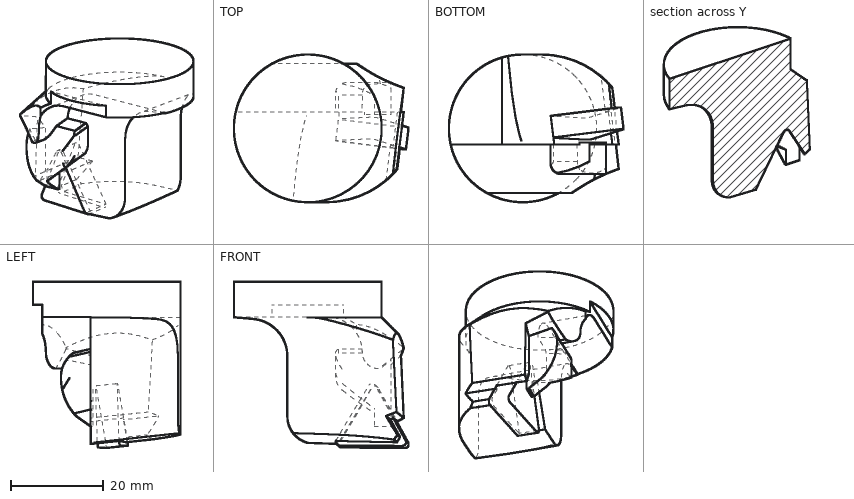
import cadquery as cq
import math

REACH = 60.0

disc_radius = 16.0
disc_depth = 7.7
flat_length = 4.0
flank_radius = 20.0
stock_depth = 40.0
flank_centre_y = flank_radius - disc_radius
flank_end_x = flat_length + flank_radius

rear_flat_y = 14.0
rear_flat_top = -5.0
rear_wall_start_x = 10.6
rear_wall_mid = (14.6, 11.5)
rear_wall_end_y = 7.8

rake_y = 3.5
shank_x = -4.44
relief_radius = 8.0
relief_slope = math.radians(5)
relief_centre_z = -16.07
toe_radius = 6.0
toe_centre_z = -29.1

chip_roof_z = -7.6
chip_wall_x = 11.8
chip_tangent_z = -15.3
chip_edge_radius = 3.5
brow_slope_x = 0.889
brow_slope_y = 0.194

clearance = math.radians(6)
rake_tilt = math.radians(7)
end_point = (0, 0, -34.53)
end_lead = math.radians(2)
side_point = (19.07, 0, 0)
side_lead = math.radians(2.5)

insert_centre = (14.32, 1.5, -31.21)
insert_turn = -0.45
inscribed_diameter = 9.525
insert_inradius = inscribed_diameter / 2
half_corner_angle = 30
insert_nose_radius = 0.8
insert_thickness = 4.76

seat_opening = 10.0
seat_inset = 0.72
notch_wall = -1.3
corner_flat_distance = 6.9

lug_x_start = 6.0
lug_x_end = 18.0
lug_embed = 0.5
lug_top_z = -14.55
lug_shoulder = (7.2, -15.4)
lug_upper_flank = (9.3, -17.9)
lug_crest = (9.9, -21.5)
lug_lower_flank = (9.1, -25.2)
lug_chin = (6.5, -29.2)
lug_bottom_z = -31.3
lug_nose_tilt = 13.5
lug_top_bevel = 0.6
lug_nose_height = 3.8
lug_nose_round = 3.8
lug_undercut = math.radians(52)
lug_undercut_height = 6.0
lug_side_y = 7.5
lug_side_round = lug_crest[0] - lug_side_y


def half_space(point, normal):
    """Large block on the normal side of a plane."""
    plane = cq.Plane(origin=point, normal=normal)
    return cq.Workplane(plane).rect(2 * REACH, 2 * REACH).extrude(2 * REACH)


def make_stock():
    """Disc plus the head outline, limited above by the 45 degree cone."""
    disc = cq.Workplane("XY").circle(disc_radius).extrude(-stock_depth)
    diagonal = flank_radius * math.sqrt(0.5)
    head = (
        cq.Workplane("XY")
        .moveTo(0, -disc_radius)
        .lineTo(flat_length, -disc_radius)
        .threePointArc(
            (flat_length + diagonal, flank_centre_y - diagonal),
            (flank_end_x, flank_centre_y),
        )
        .lineTo(flank_end_x, rear_wall_end_y)
        .threePointArc(rear_wall_mid, (rear_wall_start_x, rear_flat_y))
        .lineTo(0, rear_flat_y)
        .close()
        .extrude(-stock_depth)
    )
    cone_drop = stock_depth - disc_depth
    envelope = (
        cq.Workplane("XZ")
        .polyline([
            (0, 0),
            (disc_radius, 0),
            (disc_radius, -disc_depth),
            (disc_radius + cone_drop, -stock_depth),
            (0, -stock_depth),
        ])
        .close()
        .revolve(360, (0, 0, 0), (0, 1, 0))
    )
    return disc.union(head).intersect(envelope)


def make_rear_flat():
    return (
        cq.Workplane("XY", origin=(0, rear_flat_y, rear_flat_top))
        .rect(2 * REACH, REACH)
        .extrude(-REACH)
        .intersect(half_space((0, rear_flat_y, 0), (0, 1, 0)))
    )


def make_left_relief():
    """Space left of the shank: sloped roof, concave arc, flat side and rounded toe."""
    centre_x = shank_x - relief_radius

    def on_relief(angle):
        return (
            centre_x + relief_radius * math.sin(angle),
            relief_centre_z + relief_radius * math.cos(angle),
        )

    start = on_relief(relief_slope)
    middle = on_relief((relief_slope + math.pi / 2) / 2)
    far_x = -disc_radius - 1
    roof_end_z = start[1] + (start[0] - far_x) * math.tan(relief_slope)
    toe_diagonal = toe_radius * math.sqrt(0.5)
    toe_x = shank_x + toe_radius
    return (
        cq.Workplane("XZ", origin=(0, rake_y, 0))
        .moveTo(far_x, roof_end_z)
        .lineTo(*start)
        .threePointArc(middle, (shank_x, relief_centre_z))
        .lineTo(shank_x, toe_centre_z)
        .threePointArc(
            (toe_x - toe_diagonal, toe_centre_z - toe_diagonal),
            (toe_x, toe_centre_z - toe_radius),
        )
        .lineTo(toe_x, -REACH)
        .lineTo(far_x, -REACH)
        .close()
        .extrude(REACH)
    )


def make_chip_space():
    """Space behind the rake plane: flat roof, concave arc and a rounded lower edge."""
    roof_radius = chip_roof_z - chip_tangent_z
    roof_x = chip_wall_x - roof_radius
    roof_diagonal = roof_radius * math.sqrt(0.5)
    edge_x = chip_wall_x + chip_edge_radius
    edge_diagonal = chip_edge_radius * math.sqrt(0.5)
    edge_z = chip_tangent_z - chip_edge_radius
    space = (
        cq.Workplane("XZ", origin=(0, rake_y, 0))
        .moveTo(-REACH, chip_roof_z)
        .lineTo(roof_x, chip_roof_z)
        .threePointArc(
            (roof_x + roof_diagonal, chip_tangent_z + roof_diagonal),
            (chip_wall_x, chip_tangent_z),
        )
        .threePointArc(
            (edge_x - edge_diagonal, chip_tangent_z - edge_diagonal),
            (edge_x, edge_z),
        )
        .lineTo(REACH, edge_z)
        .lineTo(REACH, -REACH)
        .lineTo(-REACH, -REACH)
        .close()
        .extrude(-REACH)
    )
    brow_point = (edge_x, rear_wall_mid[1], edge_z)
    brow = half_space(brow_point, (brow_slope_x, brow_slope_y, -1))
    behind_rake = half_space((0, rake_y, 0), (0, 1, 0))
    right_of_edge = half_space((edge_x, 0, 0), (1, 0, 0))
    return space.union(brow.intersect(behind_rake).intersect(right_of_edge))


def insert_frame():
    """Frame in the insert's rake face: x to the cutting corner side, y up, z into the insert."""
    tilt_x = math.tan(rake_tilt)
    tilt_z = math.tan(clearance)
    frame = cq.Plane(origin=insert_centre, xDir=(1, -tilt_x, 0), normal=(-tilt_x, -1, tilt_z))
    return frame.rotated((0, 0, insert_turn))


def insert_prism(start, length):
    """Rounded triangular prism, from depth `start` below the rake face."""
    corner_radius = 2 * insert_inradius
    half_side = corner_radius * math.cos(math.radians(half_corner_angle))
    return (
        cq.Workplane(insert_frame())
        .workplane(offset=start)
        .polyline([(-half_side, -insert_inradius), (half_side, -insert_inradius), (0, corner_radius)])
        .close()
        .extrude(length)
        .edges(cq.selectors.ParallelDirSelector(insert_frame().zDir))
        .fillet(insert_nose_radius)
    )


def make_corner_notch():
    """Clears the head back from the leading edge and cuts a flat behind the cutting corner."""
    frame = cq.Workplane(insert_frame()).workplane(offset=-REACH / 2)
    edge_distance = insert_inradius - seat_inset
    leading = (
        frame.transformed(rotate=(0, 0, half_corner_angle))
        .moveTo(edge_distance, notch_wall)
        .rect(REACH, -REACH, centered=False)
        .extrude(REACH)
    )
    corner = (
        frame.transformed(rotate=(0, 0, -half_corner_angle))
        .moveTo(corner_flat_distance, -REACH / 2)
        .rect(REACH, REACH, centered=False)
        .extrude(REACH)
    )
    return leading.union(corner)


def make_lug_outline():
    """Dome of the lug, extruded along X."""
    root_y = rake_y - lug_embed
    return (
        cq.Workplane("YZ", origin=(lug_x_start, 0, 0))
        .moveTo(root_y, lug_top_z)
        .lineTo(rake_y, lug_top_z)
        .lineTo(*lug_shoulder)
        .threePointArc(lug_upper_flank, lug_crest)
        .threePointArc(lug_lower_flank, lug_chin)
        .lineTo(rake_y, lug_bottom_z)
        .lineTo(root_y, lug_bottom_z)
        .close()
        .extrude(lug_x_end - lug_x_start)
    )


def make_lug_nose():
    """Tilted side profile: bevelled top, flat left facet, rounded lip and sloping underside."""
    length = lug_x_end - lug_x_start
    facet_bottom = -lug_top_bevel - lug_nose_height

    def on_lip(angle):
        return (
            lug_nose_round * (1 - math.cos(angle)),
            facet_bottom - lug_nose_round * math.sin(angle),
        )

    lip_angle = math.pi / 2 - lug_undercut
    lip_end = on_lip(lip_angle)
    undercut_end = (
        lip_end[0] + lug_undercut_height * math.tan(lug_undercut),
        lip_end[1] - lug_undercut_height,
    )
    return (
        cq.Workplane("XZ")
        .moveTo(lug_top_bevel, 0)
        .lineTo(0, -lug_top_bevel)
        .lineTo(0, facet_bottom)
        .threePointArc(on_lip(lip_angle / 2), lip_end)
        .lineTo(*undercut_end)
        .lineTo(undercut_end[0], -REACH)
        .lineTo(length, -REACH)
        .lineTo(length, REACH)
        .lineTo(lug_top_bevel, REACH)
        .close()
        .extrude(REACH, both=True)
        .rotate((0, 0, 0), (1, 0, 0), -lug_nose_tilt)
        .translate((lug_x_start, rake_y, lug_top_z))
    )


def make_lug_plan():
    """Plan profile whose rounded corner blends the left facet into the rear of the dome."""
    round_diagonal = lug_side_round * math.sqrt(0.5)
    round_x = lug_x_start + lug_side_round
    return (
        cq.Workplane("XY")
        .moveTo(lug_x_start, 0)
        .lineTo(lug_x_start, lug_side_y)
        .threePointArc(
            (round_x - round_diagonal, lug_side_y + round_diagonal),
            (round_x, lug_crest[0]),
        )
        .lineTo(lug_x_end, lug_crest[0])
        .lineTo(lug_x_end, 0)
        .close()
        .extrude(-stock_depth)
    )


def make_lug():
    return make_lug_outline().intersect(make_lug_nose()).intersect(make_lug_plan())


def make_housing():
    end_normal = (-math.tan(end_lead), -math.tan(clearance), -1)
    side_normal = (1, -math.tan(rake_tilt), math.tan(side_lead))
    housing = make_stock()
    housing = housing.cut(make_rear_flat())
    housing = housing.cut(make_left_relief())
    housing = housing.cut(make_chip_space())
    housing = housing.cut(half_space(end_point, end_normal))
    housing = housing.cut(half_space(side_point, side_normal))
    housing = housing.cut(make_corner_notch())
    housing = housing.cut(insert_prism(-seat_opening, seat_opening + insert_thickness))
    return housing.union(make_lug())


def make_insert():
    return insert_prism(0, insert_thickness)


housing = make_housing()
insert = make_insert()
result = cq.Compound.makeCompound([housing.val(), insert.val()])